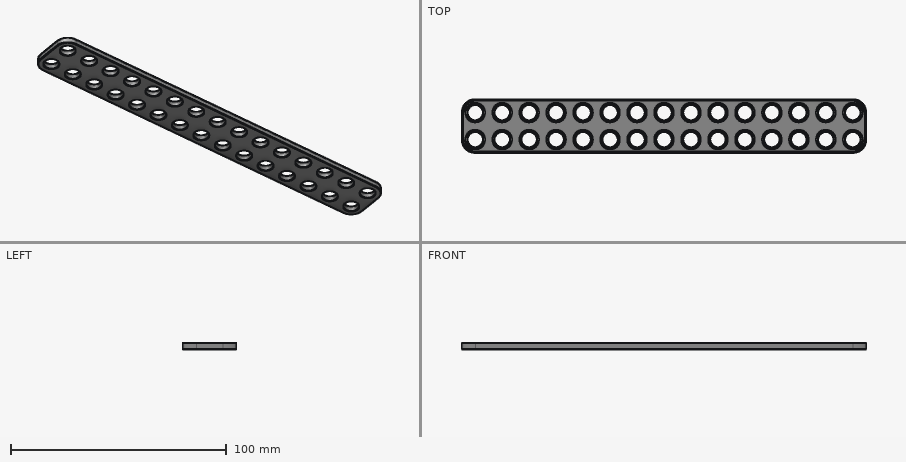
import cadquery as cq

columns = 15
rows = 2
length = 187.5
pitch = length / columns
width = rows * pitch
thickness = 3.2
corner_radius = pitch / 2

ring_diameter = 9.2
ring_width = 1.09
hole_diameter = ring_diameter - 2 * ring_width

border_width = 0.8
recess_depth = 0.2

edge_chamfer = 0.3


def rounded_block(inset, height):
    """Block following the plate outline, moved inward by the inset."""
    block = cq.Workplane("XY").rect(length - 2 * inset, width - 2 * inset).extrude(height)
    return block.edges("|Z").fillet(corner_radius - inset)


def grid_cylinders(diameter, height):
    """One cylinder at every position of the hole grid."""
    grid = cq.Workplane("XY").rarray(pitch, pitch, columns, rows)
    return grid.circle(diameter / 2).extrude(height)


def make_plate():
    """Perforated plate with all edges of its two faces chamfered."""
    plate = rounded_block(0, thickness).cut(grid_cylinders(hole_diameter, thickness))
    return plate.faces(">Z or <Z").edges().chamfer(edge_chamfer)


def make_recess():
    """Material to remove from the top, leaving the border and the rings standing."""
    field = rounded_block(border_width, recess_depth)
    recess = field.cut(grid_cylinders(ring_diameter, recess_depth))
    return recess.translate((0, 0, thickness - recess_depth))


result = make_plate().cut(make_recess())